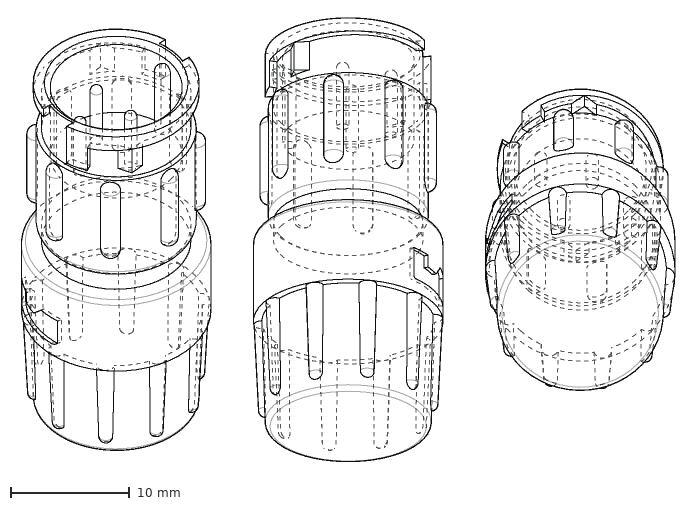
import cadquery as cq
import math

total_height = 35.0
body_bottom = 9.87
body_top = 17.5
sleeve_bottom = 19.2
sleeve_top = 29.95

neck_radius = 6.3
flange_radius = 7.0
sleeve_radius = 6.75
sleeve_round = 0.63
body_diameter = 16.0
body_radius = body_diameter / 2
body_round = 0.35
grip_base_radius = 7.0
grip_top_radius = 7.28
grip_round = 0.42

bore_radius = 5.55
bore_chamfer = 0.5
bore_depth = 8.0
contact_radius = 0.52
contact_tip = 33.0
contact_places = [(-2.55, 0.0), (1.85, 0.0), (-0.35, -3.75)]
key_radius = 0.7
key_tip = 34.05
key_place = (0.0, 5.18)

ramp_thin = 0.85
ramp_drop = 0.95
stop_depth = 4.1
stop_angle = 28.7
lug_angle = 60.0
lug_half_angle = 9.5
entry_width = 3.0
cutter_margin = 0.35

sleeve_rib_count = 8
sleeve_rib_radius = 0.85
sleeve_rib_reach = 7.55
sleeve_rib_bottom = 21.52
sleeve_rib_top = 29.75

grip_rib_count = 10
grip_rib_foot_z = 1.8
grip_rib_foot_radius = 0.6
grip_rib_foot_axis = 7.0
grip_rib_head_radius = 0.77
grip_rib_head_axis = 7.2
grip_rib_overlap = 0.2

body_turn = -12.2
mark_depth = 0.35
mark_half_width = 3.15
mark_bottom = 11.1
mark_top = 13.95
mark_notch_z = 12.85
mark_notch_left = -1.35
mark_notch_right = 0.1
mark_slope_end = 1.22
mark_large_round = 0.7
mark_small_round = 0.2

stop_bottom = total_height - stop_depth
wall_mid_radius = (bore_radius + neck_radius) / 2


def cylinder(radius, bottom, top):
    return cq.Workplane("XY").workplane(offset=bottom).circle(radius).extrude(top - bottom)


def polar(radius, angle):
    turn = math.radians(angle)
    return (radius * math.cos(turn), radius * math.sin(turn))


def turn_about_axis(shape, angle):
    return shape.rotate((0, 0, 0), (0, 0, 1), angle)


def domed_rod(radius, place, bottom, tip):
    """Upright round rod with a hemispherical tip."""
    dome_base = tip - radius
    rod = cylinder(radius, bottom, dome_base)
    dome = cq.Workplane("XY").sphere(radius).translate((0, 0, dome_base))
    return rod.union(dome).translate((place[0], place[1], 0))


def turned_stack():
    neck = cylinder(neck_radius, body_top - body_round, total_height)
    sleeve = cylinder(sleeve_radius, sleeve_bottom, sleeve_top).faces("<Z").edges().fillet(sleeve_round)
    body = cylinder(body_radius, body_bottom, body_top).faces(">Z").edges().fillet(body_round)
    grip = (
        cq.Workplane("XZ")
        .polyline([(0, 0), (grip_base_radius, 0), (grip_top_radius, body_bottom), (0, body_bottom)])
        .close()
        .revolve(360, (0, 0, 0), (0, 1, 0))
        .faces("<Z").edges().fillet(grip_round)
    )
    return grip.union(body).union(neck).union(sleeve)


def ramp_clearance():
    """Helical sector swept out below one ramp, from the stop post up to the half turn."""
    sector_drop = ramp_drop * (1 - stop_angle / 180)
    low_z = total_height - ramp_thin - sector_drop
    path = cq.Wire.makeHelix(2 * ramp_drop, sector_drop, neck_radius).translate(cq.Vector(0, 0, low_z))
    inner = neck_radius - cutter_margin
    outer = flange_radius + cutter_margin
    profile = (
        cq.Workplane("XZ")
        .moveTo((inner + outer) / 2, low_z - stop_depth / 2)
        .rect(outer - inner, stop_depth)
    )
    cutter = profile.sweep(cq.Workplane(obj=path), isFrenet=True)
    return turn_about_axis(cutter, stop_angle)


def detent_lug():
    """Triangular bump below the ramp, with its crest at the flange radius."""
    first_angle = lug_angle - lug_half_angle
    last_angle = lug_angle + lug_half_angle
    outline = [
        polar(wall_mid_radius, first_angle),
        polar(neck_radius, first_angle),
        polar(flange_radius, lug_angle),
        polar(neck_radius, last_angle),
        polar(wall_mid_radius, last_angle),
    ]
    lug_height = stop_depth - ramp_thin
    return cq.Workplane("XY").workplane(offset=stop_bottom).polyline(outline).close().extrude(lug_height)


def bayonet_flange():
    """Collar with two entry slots; cutting below each ramp leaves the ramp and its stop post."""
    collar = cylinder(flange_radius, stop_bottom, total_height)
    collar = collar.cut(cylinder(neck_radius, stop_bottom, total_height))
    entry_slots = (
        cq.Workplane("XY").workplane(offset=stop_bottom)
        .rect(entry_width, 3 * flange_radius)
        .extrude(stop_depth)
    )
    collar = collar.cut(entry_slots)
    for angle in (90, 270):
        collar = collar.cut(turn_about_axis(ramp_clearance(), angle))
    for angle in (90, 270):
        collar = collar.union(turn_about_axis(detent_lug(), angle))
    return collar


def sleeve_rib():
    """Round-ended rib lying along +X of the sleeve."""
    middle_z = (sleeve_rib_bottom + sleeve_rib_top) / 2
    upper = domed_rod(sleeve_rib_radius, (0, 0), middle_z, sleeve_rib_top)
    rib = upper.union(upper.mirror("XY", (0, 0, middle_z)))
    return rib.translate((sleeve_rib_reach - sleeve_rib_radius, 0, 0))


def grip_rib():
    """Tapered, leaning rib with a ball foot, on the -Y side of the grip."""
    foot = cq.Vector(0, -grip_rib_foot_axis, grip_rib_foot_z)
    head = cq.Vector(0, -grip_rib_head_axis, body_bottom + grip_rib_overlap)
    axis = head - foot
    cone = cq.Solid.makeCone(grip_rib_foot_radius, grip_rib_head_radius, axis.Length, foot, axis)
    ball = cq.Workplane("XY").sphere(grip_rib_foot_radius).translate(foot)
    return ball.union(cq.Workplane(obj=cone))


def body_mark():
    """Shallow recess of constant depth, on the -Y side of the body."""
    left = -mark_half_width
    right = mark_half_width
    outline = (
        cq.Workplane("XZ")
        .moveTo(left, mark_top)
        .lineTo(mark_notch_left, mark_top)
        .lineTo(mark_notch_left, mark_notch_z)
        .lineTo(mark_notch_right, mark_notch_z)
        .lineTo(mark_slope_end, mark_top)
        .lineTo(right, mark_top)
        .lineTo(right, mark_bottom + mark_large_round)
        .radiusArc((right - mark_large_round, mark_bottom), mark_large_round)
        .lineTo(left + mark_small_round, mark_bottom)
        .radiusArc((left, mark_bottom + mark_small_round), mark_small_round)
        .close()
        .extrude(2 * body_radius)
    )
    return outline.cut(cylinder(body_radius - mark_depth, body_bottom, body_top))


connector = turned_stack().union(bayonet_flange())

for index in range(sleeve_rib_count):
    connector = connector.union(turn_about_axis(sleeve_rib(), index * 360 / sleeve_rib_count))

grip_rib_pitch = 360 / grip_rib_count
for index in range(grip_rib_count):
    rib_angle = body_turn + (index + 0.5) * grip_rib_pitch
    connector = connector.union(turn_about_axis(grip_rib(), rib_angle))

connector = connector.cut(turn_about_axis(body_mark(), body_turn))

bore_floor = total_height - bore_depth
socket = cylinder(bore_radius, bore_floor, total_height)
socket = socket.union(cq.Workplane(obj=cq.Solid.makeCone(
    bore_radius,
    bore_radius + bore_chamfer,
    bore_chamfer,
    cq.Vector(0, 0, total_height - bore_chamfer),
)))
connector = connector.cut(socket)

rod_bottom = bore_floor - contact_radius
for place in contact_places:
    connector = connector.union(domed_rod(contact_radius, place, rod_bottom, contact_tip))
connector = connector.union(domed_rod(key_radius, key_place, rod_bottom, key_tip))

result = connector